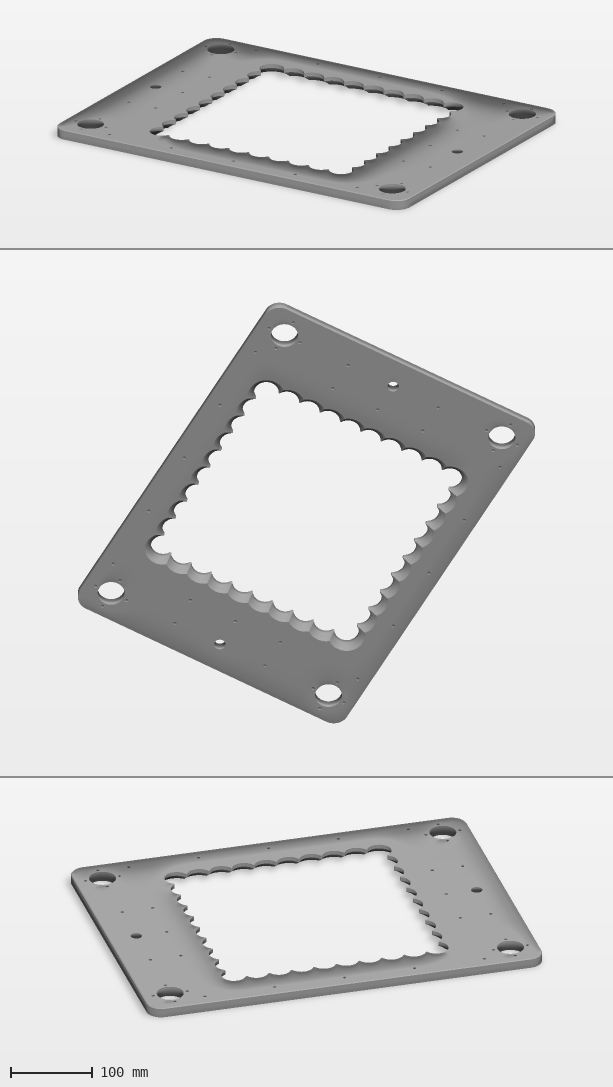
import cadquery as cq
LENGTH = 501.5
WIDTH = 374.5
THICKNESS = 12.5
CORNER_RADIUS = 18.5
TOP_CHAMFER = 1.0

SCALLOP_DIAMETER = 30.0
SCALLOPS_PER_SIDE = 10
SCALLOP_PITCH = 28.5
SCALLOP_CHAMFER = 7.5
CORE_SIZE = 271.0

BORE_DIAMETER = 33.0
BORE_X = 216.0
BORE_Y = 152.5
BORE_SCREW_OFFSET = 21.5

LOCATING_DIAMETER = 14.0

SCREW_DIAMETER = 4.15
INNER_COLUMN_X = 177.5
EDGE_ROW_Y = 171.5
MIDDLE_ROW_Y = 63.0


def mirrored(x, y):
    """Return the four points mirrored about both plate axes."""
    return [(sx * x, sy * y) for sx in (-1, 1) for sy in (-1, 1)]


def through_cut(points, diameter):
    """Return cylinders through the full thickness at the given points."""
    return cq.Workplane("XY").pushPoints(points).circle(diameter / 2).extrude(THICKNESS)


def make_plate():
    """Rounded rectangular plate with a chamfered top rim."""
    plate = cq.Workplane("XY").rect(LENGTH, WIDTH).extrude(THICKNESS)
    plate = plate.edges("|Z").fillet(CORNER_RADIUS)
    return plate.faces(">Z").edges().chamfer(TOP_CHAMFER)


def scallop_cut(x, y):
    """Return one round cut that flares out toward the underside."""
    radius = SCALLOP_DIAMETER / 2
    flare = cq.Solid.makeCone(radius + SCALLOP_CHAMFER, radius, SCALLOP_CHAMFER, cq.Vector(x, y, 0))
    return through_cut([(x, y)], SCALLOP_DIAMETER).union(cq.Workplane(flare))


def make_window():
    """Square window with a row of round scallops along each of its four sides."""
    reach = SCALLOP_PITCH * (SCALLOPS_PER_SIDE - 1) / 2
    places = [step * SCALLOP_PITCH - reach for step in range(SCALLOPS_PER_SIDE)]
    window = cq.Workplane("XY").rect(CORE_SIZE, CORE_SIZE).extrude(THICKNESS)
    for side in (-reach, reach):
        for place in places:
            window = window.union(scallop_cut(place, side))
        for place in places[1:-1]:
            window = window.union(scallop_cut(side, place))
    return window


def screw_points():
    """Centres of all small screw holes."""
    points = []
    for x, y in mirrored(BORE_X, BORE_Y):
        points += [(x - BORE_SCREW_OFFSET, y), (x + BORE_SCREW_OFFSET, y)]
        points += [(x, y - BORE_SCREW_OFFSET), (x, y + BORE_SCREW_OFFSET)]
    for step in range(-2, 3):
        points += [(step * INNER_COLUMN_X / 2, side * EDGE_ROW_Y) for side in (-1, 1)]
    points += mirrored(BORE_X, MIDDLE_ROW_Y)
    points += mirrored(INNER_COLUMN_X, MIDDLE_ROW_Y)
    points += [(-INNER_COLUMN_X, 0), (INNER_COLUMN_X, 0)]
    return points


result = (
    make_plate()
    .cut(make_window())
    .cut(through_cut(mirrored(BORE_X, BORE_Y), BORE_DIAMETER))
    .cut(through_cut([(-BORE_X, 0), (BORE_X, 0)], LOCATING_DIAMETER))
    .cut(through_cut(screw_points(), SCREW_DIAMETER))
)